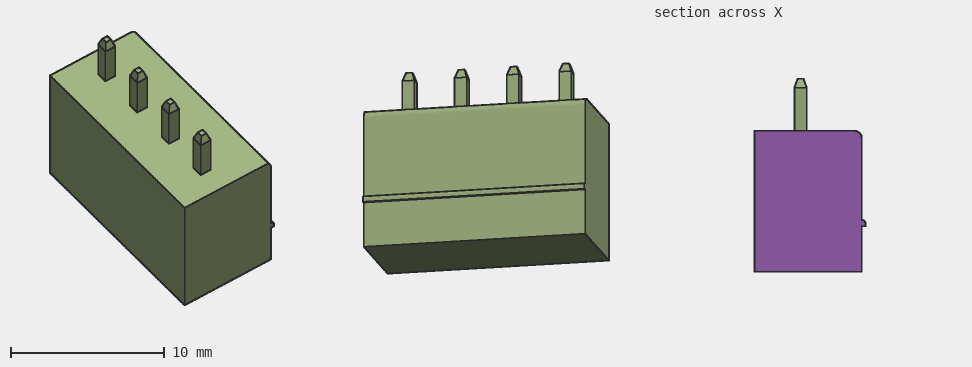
import cadquery as cq

width = 14.8
total_depth = 7.24
total_height = 12.6
rib_projection = 0.24
pin_length = 3.39
body_depth = total_depth - rib_projection
body_height = total_height - pin_length
back_edge_radius = 0.5

rib_bottom = 2.97
rib_height = 0.41
rib_edge_radius = 0.2

pin_count = 4
pin_pitch = 3.5
pin_from_front = 3.0
pin_size = 0.81
tip_size = 0.4
tip_height = 0.59
shank_length = pin_length - tip_height


def make_body():
    """Rectangular block standing on Z = 0, with its front face at Y = 0 and its upper back edge rounded."""
    block = cq.Workplane("XY").box(width, body_depth, body_height, centered=(True, False, False))
    return block.edges(">Y and >Z").fillet(back_edge_radius)


def make_rib():
    """Full-width rib standing out from the back face."""
    bar = (
        cq.Workplane("XY", origin=(0, body_depth, rib_bottom))
        .box(width, rib_projection, rib_height, centered=(True, False, False))
    )
    return bar.edges(">Y and >Z").fillet(rib_edge_radius)


def make_pin(x):
    """Square pin on top of the body, narrowing to a flat tip."""
    shank = (
        cq.Workplane("XY", origin=(x, pin_from_front, body_height))
        .rect(pin_size, pin_size)
        .extrude(shank_length)
    )
    tip = (
        cq.Workplane("XY", origin=(x, pin_from_front, body_height + shank_length))
        .rect(pin_size, pin_size)
        .workplane(offset=tip_height)
        .rect(tip_size, tip_size)
        .loft(ruled=True)
    )
    return shank.union(tip)


result = make_body().union(make_rib())
for index in range(pin_count):
    pin_x = (index - (pin_count - 1) / 2) * pin_pitch
    result = result.union(make_pin(pin_x))